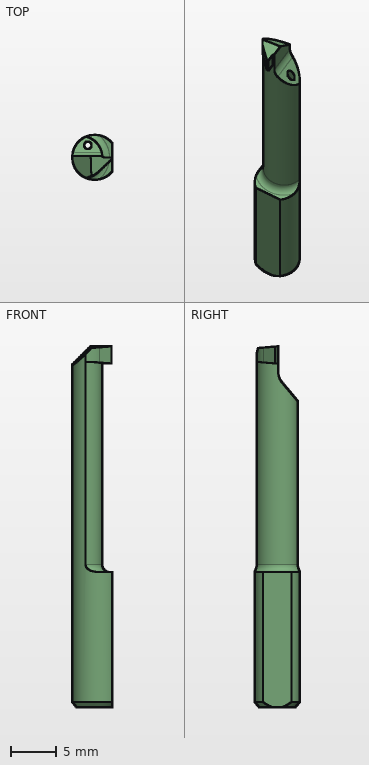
import math

import cadquery as cq

total_length = 40.0
shank_radius = 2.5
overall_width = 4.45
flat_x = overall_width - shank_radius

shank_length = 15.0
end_chamfer_height = 0.6
end_chamfer_inset = 0.5

neck_axis_x = -1.5
neck_radius = 2.34
neck_root_fillet = 0.8

head_height = 1.95
tip_x = 1.87
tip_land_width = 0.26
tip_land_inset = 0.04
flank_corner = (0.54, -1.5)
head_belly = (-0.2, -2.04)
nose_corner_x = -0.45
nose_angle = 45.0
relief_angle = 5.0

rake_y = 0.13
tip_rake_y = 0.0
rake_step_start_x = 0.8
rake_step_end_x = 1.0
gash_start_z = 37.1
gash_fillet_radius = 1.7
gash_angle = 40.0

coolant_x = -0.76
coolant_y = 1.33
coolant_diameter = 0.8

trim_size = 4 * shank_radius

crossing_x = (shank_radius**2 - neck_radius**2 + neck_axis_x**2) / (2 * neck_axis_x)
crossing_y = math.sqrt(shank_radius**2 - crossing_x**2)


def make_bar():
    """Full-length round bar with a chamfered lower end and a side flat."""
    profile = (
        cq.Workplane("XZ")
        .lineTo(-(shank_radius - end_chamfer_inset), 0)
        .lineTo(-shank_radius, end_chamfer_height)
        .lineTo(-shank_radius, total_length)
        .lineTo(0, total_length)
        .close()
    )
    bar = profile.revolve(360, (0, 0, 0), (0, 1, 0))
    beyond_flat = cq.Workplane("XY").box(
        trim_size, trim_size, total_length, centered=(False, True, False)
    )
    return bar.cut(beyond_flat.translate((flat_x, 0, 0)))


def make_neck_envelope():
    """Lower block plus the offset neck cylinder, joined by a concave fillet."""
    root_radius = neck_radius + neck_root_fillet
    fillet_top_z = shank_length + neck_root_fillet
    fillet_reach = neck_root_fillet * math.sqrt(0.5)
    fillet_middle = (fillet_reach - root_radius, fillet_top_z - fillet_reach)
    return (
        cq.Workplane("XZ", origin=(neck_axis_x, 0, 0))
        .lineTo(-trim_size, 0)
        .lineTo(-trim_size, shank_length)
        .lineTo(-root_radius, shank_length)
        .threePointArc(fillet_middle, (-neck_radius, fillet_top_z))
        .lineTo(-neck_radius, total_length)
        .lineTo(0, total_length)
        .close()
        .revolve(360, (0, 0, 0), (0, 1, 0))
    )


def relief_block(edge_x, edge_z, turn):
    """Block outside a cutting edge on the rake face, leaning in behind it by the relief angle.

    The outward normal is +Z turned about Y by the given angle.
    """
    block = cq.Workplane("XY").box(
        trim_size, trim_size, trim_size, centered=(True, True, False)
    )
    return (
        block.rotate((0, 0, 0), (1, 0, 0), relief_angle)
        .rotate((0, 0, 0), (0, 1, 0), turn)
        .translate((edge_x, rake_y, edge_z))
    )


def make_head():
    """Cutting head: rounded belly, slanted flank and a tip overhanging the neck."""
    underside_z = total_length - head_height
    base_z = underside_z - head_height
    head = (
        cq.Workplane("XY", origin=(0, 0, base_z))
        .moveTo(crossing_x, -crossing_y)
        .threePointArc(head_belly, flank_corner)
        .lineTo(tip_x - tip_land_inset, tip_rake_y - tip_land_width)
        .lineTo(tip_x, tip_rake_y)
        .lineTo(rake_step_end_x, tip_rake_y)
        .lineTo(rake_step_start_x, rake_y)
        .lineTo(crossing_x, rake_y)
        .close()
        .extrude(total_length - base_z)
    )
    return head.cut(relief_block(0, underside_z, 180))


def make_gash():
    """Chip gash: flat rake face, concave run-out and a plane sloping down the back."""
    slope = math.radians(gash_angle)

    def fillet_point(angle):
        return (
            rake_y + gash_fillet_radius * (1 - math.cos(angle)),
            gash_start_z - gash_fillet_radius * math.sin(angle),
        )

    fillet_end_y, fillet_end_z = fillet_point(slope)
    back_y = trim_size / 2
    back_z = fillet_end_z - (back_y - fillet_end_y) / math.tan(slope)
    top_z = total_length + head_height
    return (
        cq.Workplane("YZ")
        .moveTo(rake_y, top_z)
        .lineTo(rake_y, gash_start_z)
        .threePointArc(fillet_point(slope / 2), (fillet_end_y, fillet_end_z))
        .lineTo(back_y, back_z)
        .lineTo(back_y, top_z)
        .close()
        .extrude(trim_size / 2, both=True)
    )


def make_coolant_hole():
    """Straight hole along the full length."""
    return (
        cq.Workplane("XY")
        .center(coolant_x, coolant_y)
        .circle(coolant_diameter / 2)
        .extrude(total_length)
    )


body = make_bar().intersect(make_neck_envelope()).union(make_head())
body = body.cut(make_gash())
body = body.cut(relief_block(0, total_length, 0))
body = body.cut(relief_block(nose_corner_x, total_length, -nose_angle))
result = body.cut(make_coolant_hole())